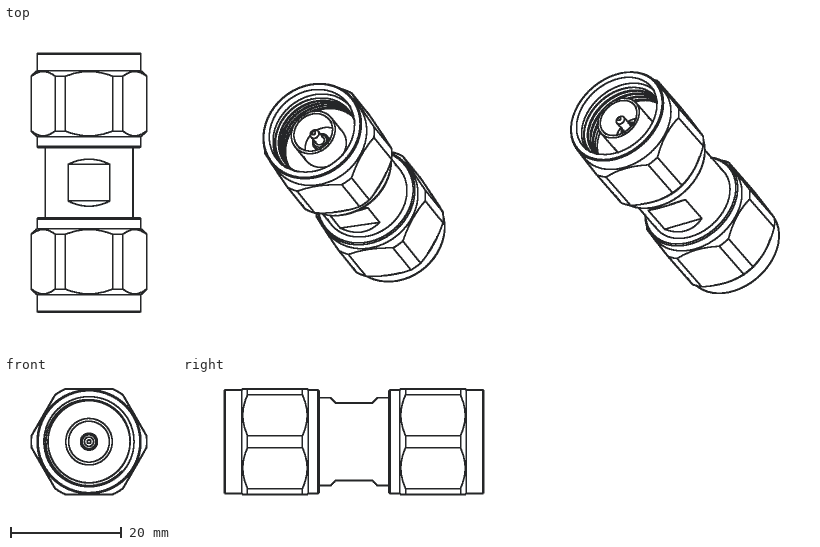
import cadquery as cq
import math

overall_length = 46.74
end_y = overall_length / 2

body_diameter = 15.88
flats_across = 14.0
flat_length = 6.6
flat_depth = (body_diameter - flats_across) / 2

nut_length = 17.07
collar_diameter = 18.73
mouth_chamfer = 0.18
back_chamfer = 0.25
hex_across_flats = 19.05
hex_corner_diameter = 20.87
hex_front = 3.17
hex_back = 15.08
hex_bevel = 1.0

bore_diameter = 16.26
bore_depth = 2.05
socket_depth = 6.9
thread_major_diameter = 15.88
thread_minor_diameter = 14.8
inch = 25.4
threads_per_inch = 24
thread_pitch = inch / threads_per_inch
thread_flank_angle = 30
thread_root_width = thread_pitch / 8
thread_start_depth = bore_depth
groove_overlap = 0.1
lead_in_length = (bore_diameter - thread_minor_diameter) / 2
minor_depth = bore_depth + lead_in_length

tube_outer_diameter = 8.38
tube_inner_diameter = 7.37
tube_tip_depth = 0.73
pin_diameter = 1.65
pin_tip_diameter = 0.65
pin_tip_depth = 1.0
pin_tip_length = 0.5
pin_base_diameter = 3.05
pin_base_tip_diameter = 2.5
pin_base_depth = 4.5
pin_base_chamfer = (pin_base_diameter - pin_base_tip_diameter) / 2


def revolve_profile(points):
    """Revolve a closed (radius, depth) outline around the plug axis."""
    outline = [(radius, depth - end_y) for radius, depth in points]
    return cq.Workplane("XY").polyline(outline).close().revolve(360, (0, 0), (0, 1))


def make_body():
    """Cylindrical core with a ramped wrench flat on its +Z and -Z sides."""
    core_length = overall_length - 2 * socket_depth
    body = cq.Workplane("XZ").circle(body_diameter / 2).extrude(core_length / 2, both=True)
    half_floor = flat_length / 2
    half_opening = half_floor + flat_depth
    for side in (1, -1):
        floor_z = side * flats_across / 2
        opening_z = side * body_diameter / 2
        notch = (
            cq.Workplane("YZ")
            .moveTo(-half_floor, floor_z)
            .lineTo(half_floor, floor_z)
            .lineTo(half_opening, opening_z)
            .lineTo(-half_opening, opening_z)
            .close()
            .extrude(body_diameter / 2, both=True)
        )
        body = body.cut(notch)
    return body


def make_nut():
    """Round collar carrying a hexagon with rounded corners and bevelled ends."""
    collar_radius = collar_diameter / 2
    collar = revolve_profile([
        (0, 0),
        (collar_radius - mouth_chamfer, 0),
        (collar_radius, mouth_chamfer),
        (collar_radius, nut_length - back_chamfer),
        (collar_radius - back_chamfer, nut_length),
        (0, nut_length),
    ])
    corner_radius = hex_corner_diameter / 2
    bevelled_blank = revolve_profile([
        (0, hex_front),
        (collar_radius, hex_front),
        (corner_radius, hex_front + hex_bevel),
        (corner_radius, hex_back - hex_bevel),
        (collar_radius, hex_back),
        (0, hex_back),
    ])
    hex_point_diameter = hex_across_flats / math.cos(math.pi / 6)
    hexagon = (
        cq.Workplane("XZ", origin=(0, hex_front - end_y, 0))
        .polygon(6, hex_point_diameter)
        .extrude(hex_front - hex_back)
    )
    return collar.union(bevelled_blank.intersect(hexagon))


def make_socket():
    """Cavity of the nut: plain bore, conical lead-in and thread minor bore."""
    return revolve_profile([
        (0, 0),
        (bore_diameter / 2, 0),
        (bore_diameter / 2, bore_depth),
        (thread_minor_diameter / 2, minor_depth),
        (thread_minor_diameter / 2, socket_depth),
        (0, socket_depth),
    ])


def make_thread_groove():
    """Helical trapezoidal groove that opens in the lead-in cone and ends at the socket floor."""
    root_radius = thread_major_diameter / 2
    mouth_radius = thread_minor_diameter / 2 - groove_overlap
    half_root = thread_root_width / 2
    half_mouth = half_root + (root_radius - mouth_radius) * math.tan(math.radians(thread_flank_angle))
    groove_length = socket_depth - half_mouth - thread_start_depth
    path = cq.Wire.makeHelix(thread_pitch, groove_length, root_radius)
    groove = (
        cq.Workplane("XZ")
        .moveTo(mouth_radius, -half_mouth)
        .lineTo(root_radius, -half_root)
        .lineTo(root_radius, half_root)
        .lineTo(mouth_radius, half_mouth)
        .close()
        .sweep(cq.Workplane(path), isFrenet=True)
    )
    return groove.rotate((0, 0, 0), (1, 0, 0), -90).translate((0, thread_start_depth - end_y, 0))


def make_contacts():
    """Outer contact tube and the stepped, tapered pin, both standing on the socket floor."""
    tube = revolve_profile([
        (tube_inner_diameter / 2, tube_tip_depth),
        (tube_outer_diameter / 2, tube_tip_depth),
        (tube_outer_diameter / 2, socket_depth),
        (tube_inner_diameter / 2, socket_depth),
    ])
    pin = revolve_profile([
        (0, pin_tip_depth),
        (pin_tip_diameter / 2, pin_tip_depth),
        (pin_diameter / 2, pin_tip_depth + pin_tip_length),
        (pin_diameter / 2, pin_base_depth),
        (pin_base_tip_diameter / 2, pin_base_depth),
        (pin_base_diameter / 2, pin_base_depth + pin_base_chamfer),
        (pin_base_diameter / 2, socket_depth),
        (0, socket_depth),
    ])
    return tube, pin


def make_plug():
    """Complete plug at the -Y end."""
    tube, pin = make_contacts()
    shell = make_nut().cut(make_socket()).cut(make_thread_groove())
    return shell.union(tube).union(pin)


plug = make_plug()
opposite_plug = plug.rotate((0, 0, 0), (0, 0, 1), 180)
result = make_body().union(plug).union(opposite_plug)